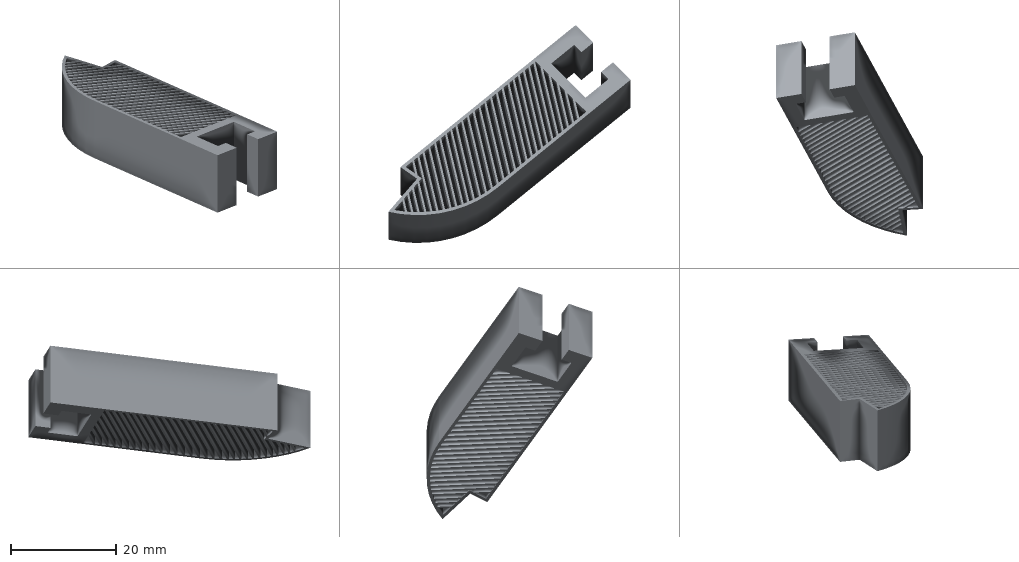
import cadquery as cq
import math

length = 52.8
width = 15.6
height = 12.0

nose_length = 18.85
tip_y = 10.1
nose_radius = (nose_length**2 + tip_y**2) / (2 * tip_y)

notch_tilt = math.radians(10)
notch_depth = 4.0

wall = 0.65
chamber_end = 42.05
rib_angle = 60.0
rib_thickness = 0.38
nose_rib_count = 3
nose_rib_length = 10.05
full_rib_length = 2 * width
first_rib_x = 2.5

narrow = 1.3
wide = 1.5
rib_pitches = (
    2 * [narrow] + [wide] + 2 * [narrow] + 2 * [wide] + [narrow] + [wide]
    + 2 * [narrow] + 9 * [wide] + 10 * [narrow]
)

slot_lip = 3.0
slot_pocket_depth = 5.85
slot_pocket_width = 9.7
slot_mouth_width = 5.6


def make_outline(inset=0.0, end_x=length):
    """Profile on the XY plane, moved inward by inset and closed off at end_x.

    Without inset the tip lies at x = 0 and the flat front side at y = 0.
    """
    along_x, along_y = math.cos(notch_tilt), math.sin(notch_tilt)

    corner_y = width - notch_depth * along_x
    corner_x = (corner_y - tip_y) / math.tan(notch_tilt)
    corner_x += inset * (along_x + along_y)
    corner_y += inset * (along_y - along_x)

    back_y = width - inset
    notch_top_x = corner_x - (back_y - corner_y) * math.tan(notch_tilt)

    radius = nose_radius - inset
    to_centre_x = nose_length - corner_x
    to_centre_y = nose_radius - corner_y
    foot_distance = to_centre_x * along_x + to_centre_y * along_y
    centre_distance = to_centre_x * along_y - to_centre_y * along_x
    tip_distance = foot_distance - math.sqrt(radius**2 - centre_distance**2)
    tip = (corner_x + tip_distance * along_x, corner_y + tip_distance * along_y)

    half_sweep = math.asin((nose_length - tip[0]) / radius) / 2
    arc_middle = (
        nose_length - radius * math.sin(half_sweep),
        nose_radius - radius * math.cos(half_sweep),
    )
    return (
        cq.Workplane("XY")
        .moveTo(*tip)
        .threePointArc(arc_middle, (nose_length, inset))
        .lineTo(end_x, inset)
        .lineTo(end_x, back_y)
        .lineTo(notch_top_x, back_y)
        .lineTo(corner_x, corner_y)
        .close()
    )


def make_block(x_start, x_end, block_width):
    """Full-height block centred across the width of the part."""
    return (
        cq.Workplane("XY")
        .box(x_end - x_start, block_width, height, centered=(False, True, False))
        .translate((x_start, width / 2, 0))
    )


def make_rib_group(centres_x, rib_length):
    """Parallel slanted ribs whose middles lie on the centreline across the width."""
    return (
        cq.Workplane("XY")
        .pushPoints([(x, width / 2) for x in centres_x])
        .slot2D(rib_length, rib_thickness, rib_angle)
        .extrude(height)
    )


def make_ribs():
    """All ribs, overrunning the chamber at both ends.

    The nose ribs are shorter so that they do not come out behind the notch.
    """
    centres_x = [first_rib_x]
    for pitch in rib_pitches:
        centres_x.append(centres_x[-1] + pitch)
    nose_ribs = make_rib_group(centres_x[:nose_rib_count], nose_rib_length)
    full_ribs = make_rib_group(centres_x[nose_rib_count:], full_rib_length)
    return nose_ribs.union(full_ribs)


def make_t_slot():
    """T-shaped slot: wide pocket behind a narrower mouth between two lips."""
    lip_start = length - slot_lip
    pocket = make_block(lip_start - slot_pocket_depth, lip_start, slot_pocket_width)
    mouth = make_block(lip_start, length, slot_mouth_width)
    return pocket.union(mouth)


body = make_outline().extrude(height)
chamber = make_outline(wall, chamber_end).extrude(height)
rib_gaps = chamber.cut(make_ribs())
result = body.cut(rib_gaps).cut(make_t_slot())